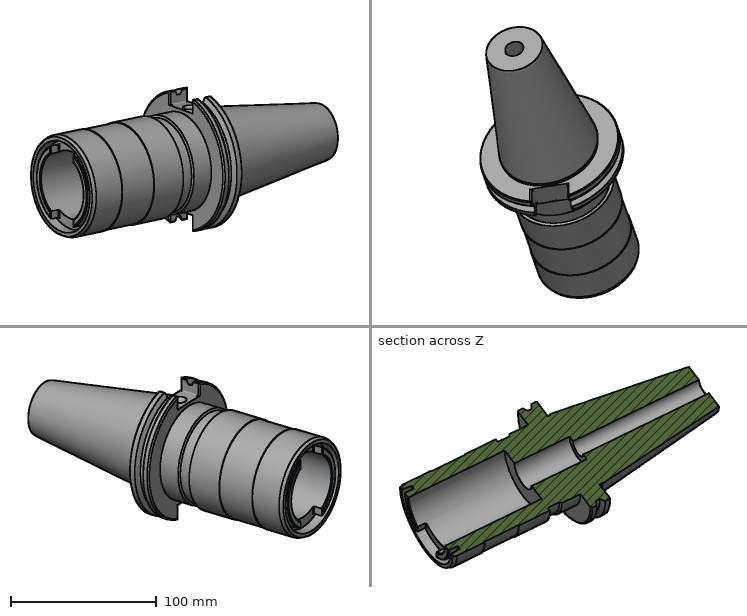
import cadquery as cq
import math


total_length = 223.5
gauge_y = 122.0
land_length = 1.3
flange_back_y = 118.7
flange_width = 15.9
neck_back_y = 87.9
head_length = 77.8
sleeve_back_y = 52.8
sleeve_front_y = 25.3

taper_large_radius = 34.9
taper_small_radius = 20.3
taper_end_chamfer_length = 1.5
taper_end_chamfer_depth = 0.5
relief_radius = 34.5
flange_diameter = 98.2
flange_back_chamfer = 0.55
flange_front_chamfer = 1.1
body_radius = 34.9
neck_radius = 33.3
neck_chamfer = 1.0
head_radius = 36.0
sleeve_radius = 35.5
nose_chamfer_depth = 1.1
nose_chamfer_length = 2.7

groove_floor_radius = 45.5
groove_floor_width = 2.7
groove_half_angle = 30.0

slot_width = 25.5
slot_edge_chamfer = 1.0
upper_slot_floor_z = 37.3
lower_slot_floor_z = 35.5
slot_fillet = 1.0
dimple_radius = 5.0
dimple_half_angle = 59.0

mouth_radius = 32.2
mouth_depth = 7.5
mouth_floor_radius = 31.5
ring_radius = 29.0
ring_chamfer = 0.78
ring_slot_width = 25.3
ring_slot_floor_bevel = 0.78
socket_radius = 24.1
socket_depth = head_length
rear_bore_radius = 11.2
through_radius = 6.5

flange_radius = flange_diameter / 2
flange_front_y = flange_back_y - flange_width
flange_mid_y = flange_back_y - flange_width / 2


def revolve_y(points):
    """Solid of revolution about Y from a closed (radius, y) outline."""
    return cq.Workplane("XY").polyline(points).close().revolve(360, (0, 0, 0), (0, 1, 0))


def turned_body():
    groove_side = (flange_radius - groove_floor_radius) * math.tan(math.radians(groove_half_angle))
    floor_half = groove_floor_width / 2
    return revolve_y([
        (0, 0),
        (head_radius - nose_chamfer_depth, 0),
        (head_radius, nose_chamfer_length),
        (head_radius, sleeve_front_y),
        (sleeve_radius, sleeve_front_y),
        (sleeve_radius, sleeve_back_y),
        (head_radius, sleeve_back_y),
        (head_radius, head_length),
        (neck_radius, head_length),
        (neck_radius, neck_back_y - neck_chamfer),
        (body_radius, neck_back_y),
        (body_radius, flange_front_y),
        (flange_radius - flange_front_chamfer, flange_front_y),
        (flange_radius, flange_front_y + flange_front_chamfer),
        (flange_radius, flange_mid_y - floor_half - groove_side),
        (groove_floor_radius, flange_mid_y - floor_half),
        (groove_floor_radius, flange_mid_y + floor_half),
        (flange_radius, flange_mid_y + floor_half + groove_side),
        (flange_radius, flange_back_y - flange_back_chamfer),
        (flange_radius - flange_back_chamfer, flange_back_y),
        (relief_radius, flange_back_y),
        (relief_radius, gauge_y - land_length),
        (taper_large_radius, gauge_y - land_length),
        (taper_large_radius, gauge_y),
        (taper_small_radius, total_length - taper_end_chamfer_length),
        (taper_small_radius - taper_end_chamfer_depth, total_length),
        (0, total_length),
    ])


def slot_block(half_widths, height):
    """Block rising from Z = 0, symmetric in X, from its (half width, y) profile."""
    mirrored = [(-half, y) for half, y in reversed(half_widths)]
    return cq.Workplane("XY").polyline(half_widths + mirrored).close().extrude(height)


def drive_slot(floor_z, side):
    """Cutter for one flange slot; side is +1 for the top and -1 for the bottom."""
    half = slot_width / 2
    flared_half = half + slot_edge_chamfer
    edge_z = math.sqrt(flange_radius**2 - half**2)
    flare_z = edge_z - slot_edge_chamfer
    flare_rise = flange_radius - flare_z
    channel = (
        cq.Workplane("XY")
        .box(slot_width, flange_width, flange_radius, centered=(True, False, False))
        .edges("|Y and <Z")
        .fillet(slot_fillet)
        .translate((0, 0, floor_z))
    )
    bevel_run = slot_edge_chamfer + slot_fillet
    face_bevels = slot_block(
        [
            (flared_half, 0),
            (flared_half - bevel_run, bevel_run),
            (flared_half - bevel_run, flange_width - bevel_run),
            (flared_half, flange_width),
        ],
        flange_radius,
    ).translate((0, 0, floor_z))
    rim_bevels = (
        cq.Workplane("XZ")
        .polyline([
            (-half, flare_z),
            (half, flare_z),
            (half + flare_rise, flange_radius),
            (-half - flare_rise, flange_radius),
        ])
        .close()
        .extrude(-flange_width)
    )
    slot = channel.union(face_bevels).union(rim_bevels)
    if side < 0:
        slot = slot.mirror("XY")
    return slot.translate((0, flange_front_y, 0))


def dimple():
    depth = dimple_radius / math.tan(math.radians(dimple_half_angle))
    cone = cq.Solid.makeCone(
        dimple_radius, 0, depth, pnt=(0, flange_mid_y, upper_slot_floor_z), dir=(0, 0, -1)
    )
    return cq.Workplane(cone)


def ring_slots():
    """Cutter for the two slots of the ring, bevelled at its face and along their floors."""
    half = ring_slot_width / 2
    block = slot_block(
        [
            (half + ring_chamfer, 0),
            (half, ring_chamfer),
            (half, mouth_depth - ring_slot_floor_bevel),
            (half - ring_slot_floor_bevel, mouth_depth),
        ],
        2 * mouth_radius,
    ).translate((0, 0, -mouth_radius))
    mouth = revolve_y([(0, 0), (mouth_radius, 0), (mouth_floor_radius, mouth_depth), (0, mouth_depth)])
    return block.intersect(mouth)


def ring_groove():
    """Cutter for the annular groove between the ring and the wall of the mouth."""
    return revolve_y([
        (ring_radius - ring_chamfer, 0),
        (mouth_radius, 0),
        (mouth_floor_radius, mouth_depth),
        (ring_radius, mouth_depth),
        (ring_radius, ring_chamfer),
    ])


def stepped_bore():
    """Cutter for the chamfered socket and the smaller bores behind it."""
    return revolve_y([
        (0, 0),
        (socket_radius + ring_chamfer, 0),
        (socket_radius, ring_chamfer),
        (socket_radius, socket_depth),
        (rear_bore_radius, socket_depth),
        (rear_bore_radius, gauge_y),
        (through_radius, gauge_y),
        (through_radius, total_length),
        (0, total_length),
    ])


result = (
    turned_body()
    .cut(drive_slot(upper_slot_floor_z, 1))
    .cut(drive_slot(lower_slot_floor_z, -1))
    .cut(dimple())
    .cut(stepped_bore())
    .cut(ring_groove())
    .cut(ring_slots())
)